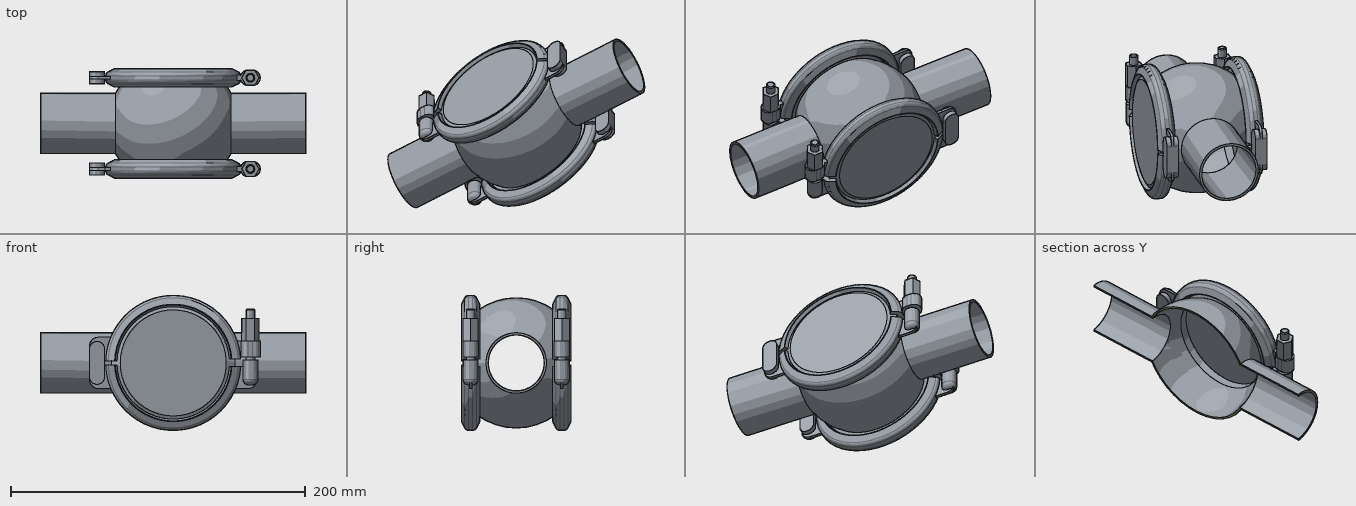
import cadquery as cq
import math

RUN_LENGTH = 180.0
PIPE_RADIUS = 20.5
WALL = 1.6
BALL_RADIUS = 44.3

JOINT_Y = 31.0
FLANGE_RADIUS = 42.0
LID_FACE_RADIUS = 36.0
FLANGE_DEPTH = 5.0
CONE_ANGLE = math.radians(27)
RIM_HALF = FLANGE_DEPTH - (FLANGE_RADIUS - LID_FACE_RADIUS) * math.tan(CONE_ANGLE)

RING_RADIUS = 45.9
RING_HALF = 6.3
CREST_HALF = 1.35
CREST_FILLET = 3.0
BORE_RADIUS = 38.2
BORE_HALF = FLANGE_DEPTH - (BORE_RADIUS - LID_FACE_RADIUS) * math.tan(CONE_ANGLE)
MOUTH_RADIUS = 39.5
HINGE_GAP = 2.7
BOLT_GAP = 5.0

LUG_ROOT = 42.1
LUG_END = 56.9
LUG_HALF_HEIGHT = 17.5
LUG_THICKNESS = 1.8
LUG_CORNER = 6.1
HINGE_WIDTH = 10.3
HINGE_HEIGHT = 29.2
HINGE_THICKNESS = 8.3

BOLT_X = 52.4
SHANK_RADIUS = 2.97
SHANK_TOP = 36.7
SHANK_CHAMFER = 0.7
NUT_FLATS = 10.3
NUT_TOP = 30.2
EYE_WIDTH = 10.5
EYE_LENGTH = 13.5
EYE_BOTTOM = 4.1
EYE_TOP = 15.0
EYE_NECK_THICKNESS = 3.6
BARREL_RADIUS = 5.13
BARREL_TOP = 2.0
BARREL_BOTTOM = -15.0
BARREL_FILLET = 3.8


def box(x_range, y_range, z_range):
    """Box spanning the given (low, high) range on each axis."""
    spans = (x_range, y_range, z_range)
    size = [high - low for low, high in spans]
    centre = tuple((high + low) / 2 for low, high in spans)
    return cq.Workplane("XY").box(*size).translate(centre)


def centred_cylinder(plane, radius, length):
    return cq.Workplane(plane).circle(radius).extrude(length / 2, both=True)


def revolve_about_y(profile):
    return profile.close().revolve(360, (0, 0, 0), (0, 1, 0))


def upright(radius, bottom, top):
    """Cylinder on the bolt axis."""
    return cq.Workplane("XY", origin=(BOLT_X, 0, bottom)).circle(radius).extrude(top - bottom)


def make_flange():
    """Tapered disc whose flat joint face lies at y = 0 and whose cone narrows toward +Y."""
    return revolve_about_y(
        cq.Workplane("XY")
        .lineTo(FLANGE_RADIUS, 0)
        .lineTo(FLANGE_RADIUS, RIM_HALF)
        .lineTo(LID_FACE_RADIUS, FLANGE_DEPTH)
        .lineTo(0, FLANGE_DEPTH)
    )


def facing(body, side):
    """Move a body built toward +Y to the joint on the +Y side (1) or the -Y side (-1)."""
    turned = body if side > 0 else body.rotate((0, 0, 0), (0, 0, 1), 180)
    return turned.translate((0, side * JOINT_Y, 0))


def make_housing():
    """Hollow ball with a straight pipe through it and an open flange on each side."""
    opening_half = JOINT_Y - FLANGE_DEPTH
    opening_radius = math.sqrt(BALL_RADIUS**2 - opening_half**2)
    ball = revolve_about_y(
        cq.Workplane("XY")
        .moveTo(0, -opening_half)
        .lineTo(opening_radius, -opening_half)
        .threePointArc((BALL_RADIUS, 0), (opening_radius, opening_half))
        .lineTo(0, opening_half)
    )
    outside = ball.union(centred_cylinder("YZ", PIPE_RADIUS, RUN_LENGTH))
    flange = make_flange().rotate((0, 0, 0), (0, 0, 1), 180)
    for side in (1, -1):
        outside = outside.union(facing(flange, side))
    return (
        outside
        .cut(cq.Workplane("XY").sphere(BALL_RADIUS - WALL))
        .cut(centred_cylinder("YZ", PIPE_RADIUS - WALL, RUN_LENGTH))
        .cut(centred_cylinder("XZ", LID_FACE_RADIUS - WALL, 2 * JOINT_Y))
    )


def make_ring():
    """Clamp ring with a rounded crest and a V groove that fits over the two flanges."""
    turn = math.pi / 2 - CONE_ANGLE
    fillet_centre_radius = RING_RADIUS - CREST_FILLET

    def on_fillet(angle):
        return (
            fillet_centre_radius + CREST_FILLET * math.cos(angle),
            CREST_HALF + CREST_FILLET * math.sin(angle),
        )

    def mirrored(point):
        return (point[0], -point[1])

    crest = (RING_RADIUS, CREST_HALF)
    fillet_mid = on_fillet(turn / 2)
    fillet_end = on_fillet(turn)
    edge_radius = fillet_end[0] - (RING_HALF - fillet_end[1]) / math.tan(CONE_ANGLE)
    edge = (edge_radius, RING_HALF)
    mouth = (MOUTH_RADIUS, RING_HALF)
    bore = (BORE_RADIUS, BORE_HALF)
    groove = (FLANGE_RADIUS, RIM_HALF)
    return revolve_about_y(
        cq.Workplane("XY")
        .moveTo(*mirrored(crest))
        .lineTo(*crest)
        .threePointArc(fillet_mid, fillet_end)
        .lineTo(*edge)
        .lineTo(*mouth)
        .lineTo(*bore)
        .lineTo(*groove)
        .lineTo(*mirrored(groove))
        .lineTo(*mirrored(bore))
        .lineTo(*mirrored(mouth))
        .lineTo(*mirrored(edge))
        .lineTo(*mirrored(fillet_end))
        .threePointArc(mirrored(fillet_mid), mirrored(crest))
    )


def make_lug_plate():
    """Thin plate on the +X side of the ring with rounded outer corners."""
    half = LUG_THICKNESS / 2
    plate = box((LUG_ROOT, LUG_END), (-half, half), (-LUG_HALF_HEIGHT, LUG_HALF_HEIGHT))
    return plate.edges("|Y and >X").fillet(LUG_CORNER)


def make_hinge():
    """Hinge on the -X side: a plate slit in line with the ring and a thick rounded link."""
    gap_half = HINGE_GAP / 2
    plate = make_lug_plate().mirror("YZ")
    slit = box((-LUG_END, 0), (-LUG_THICKNESS, LUG_THICKNESS), (-gap_half, gap_half))
    link = (
        cq.Workplane("XZ", origin=(HINGE_WIDTH / 2 - LUG_END, 0, 0))
        .slot2D(HINGE_HEIGHT, HINGE_WIDTH, 90)
        .extrude(HINGE_THICKNESS / 2, both=True)
    )
    return plate.cut(slit).union(link)


def make_eye():
    """Oblong eye for the bolt, joined to the upper half ring by a narrow neck."""
    half = EYE_NECK_THICKNESS / 2
    eye = (
        cq.Workplane("XY", origin=(BOLT_X, 0, EYE_BOTTOM))
        .slot2D(EYE_LENGTH, EYE_WIDTH)
        .extrude(EYE_TOP - EYE_BOTTOM)
    )
    return eye.union(box((LUG_ROOT, BOLT_X), (-half, half), (EYE_BOTTOM, EYE_TOP)))


def make_bolt():
    """Round-ended barrel, shank and long hexagon nut on one vertical axis."""
    barrel = upright(BARREL_RADIUS, BARREL_BOTTOM, BARREL_TOP).faces("<Z").edges().fillet(BARREL_FILLET)
    shank = upright(SHANK_RADIUS, BARREL_TOP, SHANK_TOP).faces(">Z").edges().chamfer(SHANK_CHAMFER)
    across_corners = NUT_FLATS / math.cos(math.pi / 6)
    nut = (
        cq.Workplane("XY", origin=(BOLT_X, 0, EYE_TOP))
        .polygon(6, across_corners)
        .extrude(NUT_TOP - EYE_TOP)
    )
    return barrel.union(shank).union(nut)


def make_clamp():
    """Two half rings, hinged on the -X side and drawn together by the bolt on the +X side."""
    hinge_half = HINGE_GAP / 2
    bolt_half = BOLT_GAP / 2
    across = (-RING_HALF, RING_HALF)
    hinge_slit = box((-RING_RADIUS, 0), across, (-hinge_half, hinge_half))
    bolt_slit = box((0, RING_RADIUS), across, (-bolt_half, bolt_half))
    lower_lug = make_lug_plate().intersect(
        box((LUG_ROOT, LUG_END), across, (-LUG_HALF_HEIGHT, -bolt_half))
    )
    ring = make_ring().cut(hinge_slit).cut(bolt_slit)
    return ring.union(make_hinge()).union(lower_lug).union(make_eye()).union(make_bolt())


housing = make_housing()
lids = [facing(make_flange(), side) for side in (1, -1)]
clamps = [make_clamp().translate((0, side * JOINT_Y, 0)) for side in (1, -1)]

result = cq.Compound.makeCompound([
    housing.solids().val(),
    *[lid.solids().val() for lid in lids],
    *[clamp.solids().val() for clamp in clamps],
])